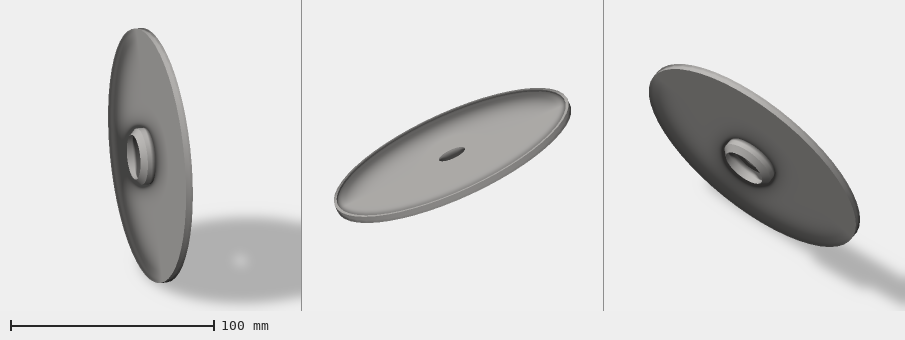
import cadquery as cq

disc_diameter = 126.0
disc_thickness = 3.5
total_depth = 10.5
hub_diameter = 28.0
recess_diameter = 22.2
bore_diameter = 14.0
chamfer_depth = 2.9
recess_depth = 6.5
back_recess_diameter = 123.0
back_recess_depth = 1.0

disc_radius = disc_diameter / 2
hub_radius = hub_diameter / 2
recess_radius = recess_diameter / 2
bore_radius = bore_diameter / 2
back_recess_radius = back_recess_diameter / 2
recess_floor = recess_depth - total_depth

profile = (
    cq.Workplane("XY")
    .moveTo(bore_radius, -back_recess_depth)
    .lineTo(back_recess_radius, -back_recess_depth)
    .lineTo(back_recess_radius, 0)
    .lineTo(disc_radius, 0)
    .lineTo(disc_radius, -disc_thickness)
    .lineTo(hub_radius, -disc_thickness)
    .lineTo(hub_radius, chamfer_depth - total_depth)
    .lineTo(recess_radius, -total_depth)
    .lineTo(recess_radius, recess_floor)
    .lineTo(bore_radius, recess_floor)
    .close()
)

result = profile.revolve(360, (0, 0, 0), (0, 1, 0))